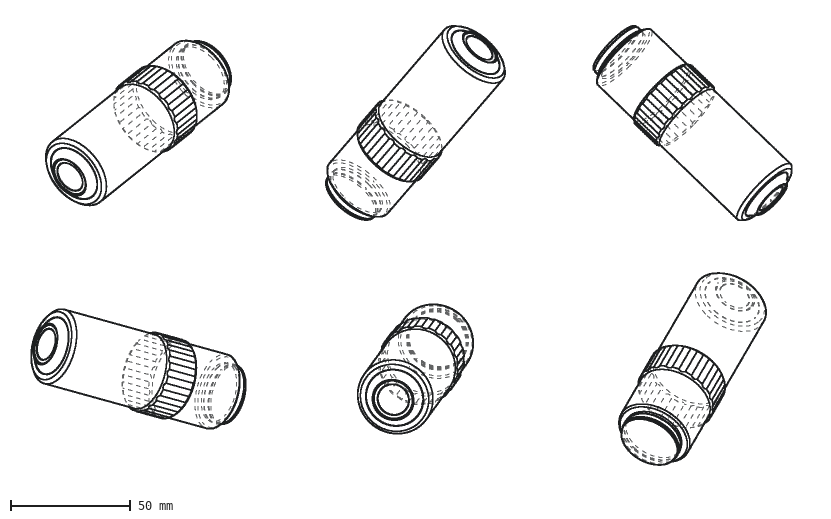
import cadquery as cq

length = 94.0

tip_radius = 8.8
nose_bore_radius = 12.3
nose_base_radius = 12.1
nose_projection = 3.1
nose_base_y = nose_base_radius - tip_radius

rim_radius = 8.65
recess_floor_radius = 8.2
recess_depth = 0.4
lens_radius = 6.6
lens_seat_radius = 6.8
lens_depth = 0.6

barrel_radius = 16.1
front_chamfer = 1.5
rear_chamfer = 0.8

mount_length = 4.9
neck_radius = 12.7
collar_radius = 13.0
neck_length = 1.4
end_length = 0.9

grip_radius = 17.0
grip_start_y = 50.9
grip_length = 15.3
grip_chamfer_length = 1.1
flute_count = 18
flute_depth = 0.4
flute_radius = 3.6

shoulder_y = length - mount_length
collar_start_y = shoulder_y + neck_length
collar_end_y = length - end_length
collar_bevel = collar_radius - neck_radius
grip_end_y = grip_start_y + grip_length


def revolve_about_y(points):
    """Revolve a closed (radius, y) outline about the Y axis."""
    return cq.Workplane("XY").polyline(points).close().revolve(360, (0, 0), (0, 1))


def make_barrel():
    return revolve_about_y([
        (0, lens_depth),
        (lens_radius, lens_depth),
        (lens_seat_radius, recess_depth),
        (recess_floor_radius, recess_depth),
        (rim_radius, 0),
        (tip_radius, 0),
        (nose_base_radius, nose_base_y),
        (nose_bore_radius, nose_base_y),
        (nose_bore_radius, nose_projection),
        (barrel_radius - front_chamfer, nose_projection),
        (barrel_radius, nose_projection + front_chamfer),
        (barrel_radius, shoulder_y - rear_chamfer),
        (barrel_radius - rear_chamfer, shoulder_y),
        (neck_radius, shoulder_y),
        (neck_radius, collar_start_y),
        (collar_radius, collar_start_y),
        (collar_radius, collar_end_y - collar_bevel),
        (neck_radius, collar_end_y),
        (neck_radius, length),
        (0, length),
    ])


def make_grip():
    ring = revolve_about_y([
        (0, grip_start_y),
        (barrel_radius, grip_start_y),
        (grip_radius, grip_start_y + grip_chamfer_length),
        (grip_radius, grip_end_y - grip_chamfer_length),
        (barrel_radius, grip_end_y),
        (0, grip_end_y),
    ])
    flute_axis_radius = grip_radius - flute_depth + flute_radius
    flutes = (
        cq.Workplane("XZ", origin=(0, grip_start_y, 0))
        .polarArray(flute_axis_radius, 0, 360, flute_count)
        .circle(flute_radius)
        .extrude(-grip_length)
    )
    return ring.cut(flutes)


result = make_barrel().union(make_grip())